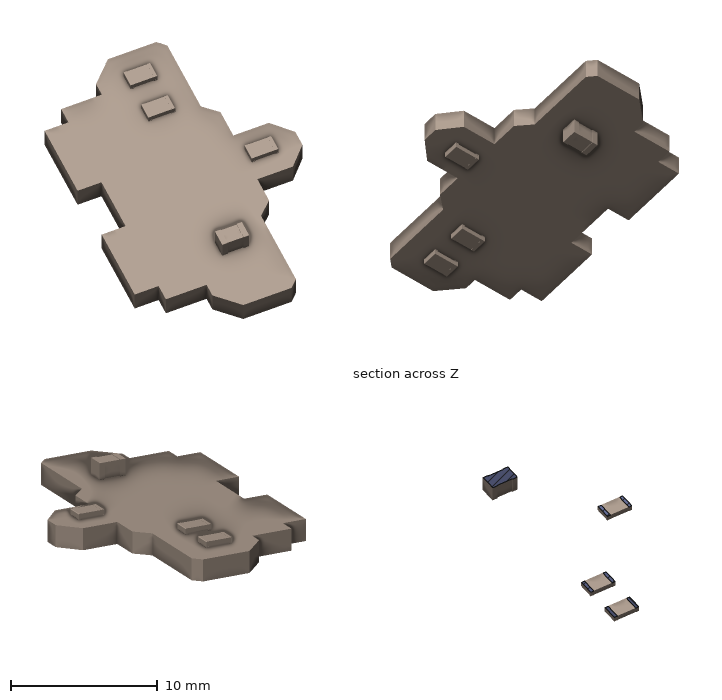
import cadquery as cq

BOARD_THICKNESS = 1.6
WING_HALF_WIDTH = 11.4
WING_BOTTOM_Y = 4.8
WING_TOP_Y = 10.58
WING_LOWER_CHAMFER = 1.6
WING_UPPER_CHAMFER = 0.57
BASE_HALF_WIDTH = 8.82
TAB_HALF_SPAN = 7.6
TAB_HEIGHT = 1.78
NOTCH_HALF_WIDTH = 2.03
SHOULDER_TOP_Y = 11.6
SHOULDER_LEFT_X = -4.2
SHOULDER_RIGHT_X = 4.0
SHOULDER_RUN = 0.98
NECK_HALF_WIDTH = NOTCH_HALF_WIDTH
NECK_TOP_Y = 15.6
NECK_PEAK_HALF_WIDTH = 0.6
NECK_SLOPE_HEIGHT = 1.35

MOUNTING_GAP = 0.05
CHIP_LENGTH = 2.0

RESISTOR_WIDTH = 1.2
RESISTOR_HEIGHT = 0.45
RESISTOR_TERMINAL_LENGTH = 0.27
RESISTOR_END_PLATE = 0.05
RESISTOR_FOOT = 0.07
RESISTOR_INSET = 0.011
RESISTOR_END_RADIUS = 0.05

CAPACITOR_SIZE = 1.25
CAPACITOR_TERMINAL_LENGTH = 0.4
CAPACITOR_STEP = 0.05
CAPACITOR_EDGE_RADIUS = 0.035

ROW_Y = 7.77
NECK_CENTRE = (0.0, 12.81)
TOP_RESISTORS = [(-9.0, ROW_Y), (-6.02, ROW_Y), NECK_CENTRE]
BOTTOM_RESISTORS = [(5.8, ROW_Y), (8.78, ROW_Y), NECK_CENTRE]
TOP_CAPACITOR = (6.4, ROW_Y)
BOTTOM_CAPACITOR = (-6.63, ROW_Y)


def make_board():
    outline = [
        (-TAB_HALF_SPAN, 0),
        (-NOTCH_HALF_WIDTH, 0),
        (-NOTCH_HALF_WIDTH, TAB_HEIGHT),
        (NOTCH_HALF_WIDTH, TAB_HEIGHT),
        (NOTCH_HALF_WIDTH, 0),
        (TAB_HALF_SPAN, 0),
        (TAB_HALF_SPAN, TAB_HEIGHT),
        (BASE_HALF_WIDTH, TAB_HEIGHT),
        (BASE_HALF_WIDTH, WING_BOTTOM_Y),
        (WING_HALF_WIDTH - WING_LOWER_CHAMFER, WING_BOTTOM_Y),
        (WING_HALF_WIDTH, WING_BOTTOM_Y + WING_LOWER_CHAMFER),
        (WING_HALF_WIDTH, WING_TOP_Y - WING_UPPER_CHAMFER),
        (WING_HALF_WIDTH - WING_UPPER_CHAMFER, WING_TOP_Y),
        (SHOULDER_RIGHT_X + SHOULDER_RUN, WING_TOP_Y),
        (SHOULDER_RIGHT_X, SHOULDER_TOP_Y),
        (NECK_HALF_WIDTH, SHOULDER_TOP_Y),
        (NECK_HALF_WIDTH, NECK_TOP_Y - NECK_SLOPE_HEIGHT),
        (NECK_PEAK_HALF_WIDTH, NECK_TOP_Y),
        (-NECK_PEAK_HALF_WIDTH, NECK_TOP_Y),
        (-NECK_HALF_WIDTH, NECK_TOP_Y - NECK_SLOPE_HEIGHT),
        (-NECK_HALF_WIDTH, SHOULDER_TOP_Y),
        (SHOULDER_LEFT_X, SHOULDER_TOP_Y),
        (SHOULDER_LEFT_X - SHOULDER_RUN, WING_TOP_Y),
        (-WING_HALF_WIDTH + WING_UPPER_CHAMFER, WING_TOP_Y),
        (-WING_HALF_WIDTH, WING_TOP_Y - WING_UPPER_CHAMFER),
        (-WING_HALF_WIDTH, WING_BOTTOM_Y + WING_LOWER_CHAMFER),
        (-WING_HALF_WIDTH + WING_LOWER_CHAMFER, WING_BOTTOM_Y),
        (-BASE_HALF_WIDTH, WING_BOTTOM_Y),
        (-BASE_HALF_WIDTH, TAB_HEIGHT),
        (-TAB_HALF_SPAN, TAB_HEIGHT),
    ]
    return cq.Workplane("XY").polyline(outline).close().extrude(BOARD_THICKNESS)


def upright_box(width, length, height):
    """Box centred in X and Y that stands on Z = 0."""
    return cq.Workplane("XY").box(width, length, height, centered=(True, True, False))


def make_resistor():
    """Flat chip: a core held between two end terminals that wrap over its top and bottom."""
    shell = upright_box(RESISTOR_WIDTH, CHIP_LENGTH, RESISTOR_HEIGHT)
    shell = shell.edges("|X").fillet(RESISTOR_END_RADIUS)
    middle_length = CHIP_LENGTH - 2 * RESISTOR_TERMINAL_LENGTH
    opening = upright_box(RESISTOR_WIDTH, middle_length, RESISTOR_HEIGHT)

    core_width = RESISTOR_WIDTH - 2 * RESISTOR_INSET
    core_length = CHIP_LENGTH - 2 * RESISTOR_END_PLATE
    core_height = RESISTOR_HEIGHT - RESISTOR_FOOT - RESISTOR_INSET
    core_space = upright_box(RESISTOR_WIDTH, core_length, core_height).translate((0, 0, RESISTOR_FOOT))
    core = upright_box(core_width, core_length, core_height).translate((0, 0, RESISTOR_FOOT))
    return shell.cut(opening).cut(core_space).union(core)


def make_capacitor():
    """Square block with rounded long edges and a middle waisted on all four sides."""
    block = upright_box(CAPACITOR_SIZE, CHIP_LENGTH, CAPACITOR_SIZE)
    block = block.edges("|Y").fillet(CAPACITOR_EDGE_RADIUS)
    middle_length = CHIP_LENGTH - 2 * CAPACITOR_TERMINAL_LENGTH
    core_size = CAPACITOR_SIZE - 2 * CAPACITOR_STEP
    core = upright_box(core_size, middle_length, core_size).translate((0, 0, CAPACITOR_STEP))
    sleeve = upright_box(CAPACITOR_SIZE, middle_length, CAPACITOR_SIZE).cut(core)
    return block.cut(sleeve)


def place_on_top(component, centre):
    return component.translate((*centre, BOARD_THICKNESS + MOUNTING_GAP))


def place_underneath(component, centre):
    return component.rotate((0, 0, 0), (0, 1, 0), 180).translate((*centre, -MOUNTING_GAP))


board = make_board()
resistors = [place_on_top(make_resistor(), centre) for centre in TOP_RESISTORS]
resistors += [place_underneath(make_resistor(), centre) for centre in BOTTOM_RESISTORS]
capacitors = [
    place_on_top(make_capacitor(), TOP_CAPACITOR),
    place_underneath(make_capacitor(), BOTTOM_CAPACITOR),
]

result = cq.Compound.makeCompound(
    [
        board.val(),
        *[resistor.val() for resistor in resistors],
        *[capacitor.val() for capacitor in capacitors],
    ]
)